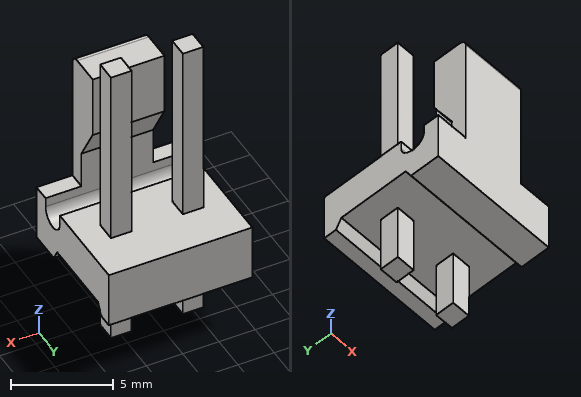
import cadquery as cq

total_height = 16.51
pitch = 3.96
pin_count = 2
pin_size = 1.14
pin_setback = 4.59
housing_width = pin_count * pitch
housing_depth = 7.63
housing_bottom = 3.17
housing_top = 6.34

channel_top = 3.8
channel_front = 1.82
channel_back = 6.84
channel_taper = 0.36

latch_width = pitch
latch_top = 13.97
latch_thickness = 0.95
latch_head_depth = 2.15
latch_ramp_bottom = 8.4
latch_ramp_top = 10.45
latch_nose_radius = 0.5
groove_width = 1.52
groove_radius = groove_width / 2
groove_bottom = 5.07
groove_back = latch_thickness + groove_width
groove_center_z = groove_bottom + groove_radius


def extrude_across(profile, width):
    """Extrude a closed YZ profile symmetrically about the X = 0 plane."""
    return profile.close().extrude(width / 2, both=True)


def make_housing_block():
    profile = (
        cq.Workplane("YZ")
        .moveTo(0, housing_bottom)
        .lineTo(channel_front, housing_bottom)
        .lineTo(channel_front + channel_taper, channel_top)
        .lineTo(channel_back - channel_taper, channel_top)
        .lineTo(channel_back, housing_bottom)
        .lineTo(housing_depth, housing_bottom)
        .lineTo(housing_depth, housing_top)
        .lineTo(groove_back, housing_top)
        .lineTo(groove_back, groove_center_z)
        .threePointArc(
            (latch_thickness + groove_radius, groove_bottom),
            (latch_thickness, groove_center_z),
        )
        .lineTo(latch_thickness, housing_top)
        .lineTo(0, housing_top)
    )
    return extrude_across(profile, housing_width)


def make_latch():
    profile = (
        cq.Workplane("YZ")
        .moveTo(0, housing_top)
        .lineTo(latch_thickness, housing_top)
        .lineTo(latch_thickness, latch_ramp_bottom)
        .lineTo(latch_head_depth, latch_ramp_top)
        .lineTo(latch_head_depth, latch_top)
        .lineTo(0, latch_top)
    )
    latch = extrude_across(profile, latch_width)
    return latch.edges("|X and >Z and <Y").fillet(latch_nose_radius)


def make_housing():
    return make_housing_block().union(make_latch())


def make_pin_section(x, bottom, top):
    """Square pin length standing between two heights."""
    return (
        cq.Workplane("XY", origin=(x, pin_setback, bottom))
        .rect(pin_size, pin_size)
        .extrude(top - bottom)
    )


housing = make_housing()

pin_positions = [(i - (pin_count - 1) / 2) * pitch for i in range(pin_count)]
mating_pins = [make_pin_section(x, housing_top, total_height) for x in pin_positions]
solder_tails = [make_pin_section(x, 0, channel_top) for x in pin_positions]

result = cq.Compound.makeCompound(
    [housing.val()] + [pin.val() for pin in mating_pins + solder_tails]
)